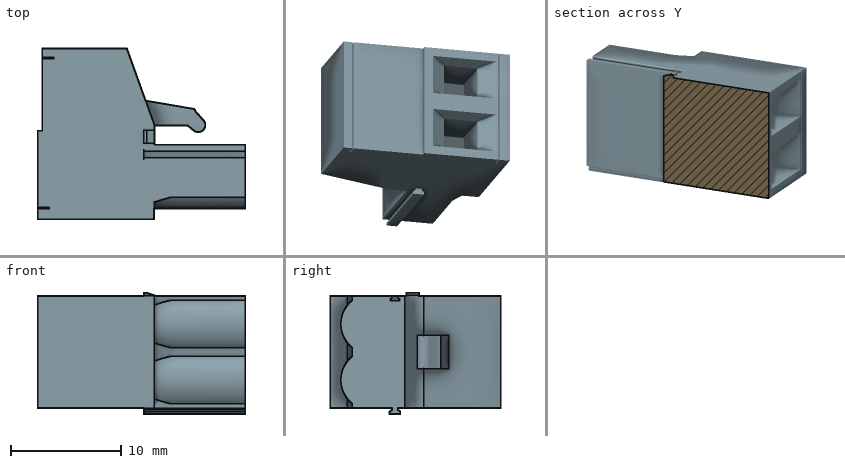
import cadquery as cq
import math

POLES = 2
PITCH = 5.08
HEIGHT = POLES * PITCH
LENGTH_X = 18.85
WIDTH_Y = 15.5

BACK_SETBACK = 0.42
ENTRY_WIDTH = 8.04
REAR_TOP_X = 8.1
PLUG_ROOT_X = 10.62
SLOPE_END_Y = 8.5
ENTRY_BLOCK_X = 10.56
PLUG_TOP_Y = 6.78
PLUG_BOTTOM_Y = 2.03
PLUG_TAPER_Y = 1.57
PLUG_TAPER_X = 12.15

SHROUD_BOTTOM_Y = 0.98
SHROUD_RADIUS = 2.76

FUNNEL_CENTER_Y = 4.25
FUNNEL_MOUTH = (5.96, 3.53)
FUNNEL_THROAT = (3.16, 2.78)
FUNNEL_DEPTH = 1.3
THROAT_DEPTH = 4.7

SLIT_WIDTH = 0.1
SLIT_DEPTH = 1.05
SLIT_LOW_Y = 1.02
SLIT_HIGH_Y = 14.62

RAIL_START_X = 9.64
RAIL_CENTER_Y = 5.89
RAIL_NECK = 0.56
RAIL_HEAD = 1.0
RAIL_HEIGHT = 0.56
RAIL_NECK_HEIGHT = 0.17
RAIL_HEAD_HEIGHT = 0.23
GROOVE_NECK = 0.58
GROOVE_RADIUS = 0.14
GROOVE_DEPTH = 0.45

RAMP_Y = (6.9, 8.08)
RAMP_FLAT = 0.24
RAMP_HEIGHT = 0.30
RAMP_END_HEIGHT = 0.05

HOOK_WIDTH = 3.0
HOOK_ROOT_Y = 10.77
HOOK_SHOULDER = (14.2, 10.02)
HOOK_NOTCH = (14.4, 9.7)
HOOK_TIP_RADIUS = 0.65
HOOK_TIP_CENTER = (14.57, 8.55)
HOOK_TIP_LOWER_ANGLE = math.radians(235)
HOOK_TIP_UPPER_ANGLE = math.radians(42)
HOOK_LOWER_X = 13.6


def pole_centers():
    return [PITCH * (pole + 0.5) for pole in range(POLES)]


def make_housing():
    outline = [
        (0, 0),
        (ENTRY_BLOCK_X, 0),
        (ENTRY_BLOCK_X, PLUG_TAPER_Y),
        (PLUG_TAPER_X, PLUG_BOTTOM_Y),
        (LENGTH_X, PLUG_BOTTOM_Y),
        (LENGTH_X, PLUG_TOP_Y),
        (PLUG_ROOT_X, PLUG_TOP_Y),
        (PLUG_ROOT_X, SLOPE_END_Y),
        (REAR_TOP_X, WIDTH_Y),
        (BACK_SETBACK, WIDTH_Y),
        (BACK_SETBACK, ENTRY_WIDTH),
        (0, ENTRY_WIDTH),
    ]
    return cq.Workplane("XY").polyline(outline).close().extrude(HEIGHT)


def make_shroud(center_z):
    center_y = SHROUD_BOTTOM_Y + SHROUD_RADIUS
    half_chord = math.sqrt(SHROUD_RADIUS**2 - (center_y - PLUG_BOTTOM_Y) ** 2)
    return (
        cq.Workplane("YZ", origin=(ENTRY_BLOCK_X, 0, center_z))
        .moveTo(PLUG_BOTTOM_Y, half_chord)
        .threePointArc((SHROUD_BOTTOM_Y, 0), (PLUG_BOTTOM_Y, -half_chord))
        .close()
        .extrude(LENGTH_X - ENTRY_BLOCK_X)
    )


def make_wire_entry(center_z):
    mouth = cq.Workplane("YZ", origin=(0, FUNNEL_CENTER_Y, center_z))
    funnel = mouth.rect(*FUNNEL_MOUTH).workplane(offset=FUNNEL_DEPTH).rect(*FUNNEL_THROAT).loft(ruled=True)
    throat = mouth.workplane(offset=FUNNEL_DEPTH).rect(*FUNNEL_THROAT).extrude(THROAT_DEPTH)
    return funnel.union(throat)


def make_slit(entry_x, center_y):
    return cq.Workplane("XY").box(
        SLIT_DEPTH, SLIT_WIDTH, HEIGHT, centered=(False, True, False)
    ).translate((entry_x, center_y, 0))


def make_rail():
    neck = RAIL_NECK / 2
    head = RAIL_HEAD / 2
    shoulder_z = RAIL_HEAD_HEIGHT - RAIL_HEIGHT
    half_profile = [(neck, 0), (neck, -RAIL_NECK_HEIGHT), (head, shoulder_z), (head, -RAIL_HEIGHT)]
    mirrored = [(-y, z) for y, z in reversed(half_profile)]
    return (
        cq.Workplane("YZ", origin=(RAIL_START_X, RAIL_CENTER_Y, 0))
        .polyline(half_profile + mirrored)
        .close()
        .extrude(LENGTH_X - RAIL_START_X)
    )


def make_groove():
    r = GROOVE_RADIUS
    neck = GROOVE_NECK / 2
    wall = neck + r
    diagonal = r * (1 - math.sqrt(0.5))
    corner = (wall - diagonal, -GROOVE_DEPTH + diagonal)
    return (
        cq.Workplane("YZ", origin=(RAIL_START_X, RAIL_CENTER_Y, HEIGHT))
        .moveTo(wall, 0)
        .threePointArc((neck, -r), (wall, -2 * r))
        .lineTo(wall, -GROOVE_DEPTH + r)
        .threePointArc(corner, (neck, -GROOVE_DEPTH))
        .lineTo(-neck, -GROOVE_DEPTH)
        .threePointArc((-corner[0], corner[1]), (-wall, -GROOVE_DEPTH + r))
        .lineTo(-wall, -2 * r)
        .threePointArc((-neck, -r), (-wall, 0))
        .close()
        .extrude(LENGTH_X - RAIL_START_X)
    )


def make_ramp():
    low_y, high_y = RAMP_Y
    profile = [
        (RAIL_START_X, 0),
        (PLUG_ROOT_X, 0),
        (PLUG_ROOT_X, RAMP_END_HEIGHT),
        (RAIL_START_X + RAMP_FLAT, RAMP_HEIGHT),
        (RAIL_START_X, RAMP_HEIGHT),
    ]
    return (
        cq.Workplane("XZ", origin=(0, high_y, HEIGHT)).polyline(profile).close().extrude(high_y - low_y)
    )


def hook_tip_point(angle):
    center_x, center_y = HOOK_TIP_CENTER
    return (center_x + HOOK_TIP_RADIUS * math.cos(angle), center_y + HOOK_TIP_RADIUS * math.sin(angle))


def make_hook():
    slope = (WIDTH_Y - SLOPE_END_Y) / (PLUG_ROOT_X - REAR_TOP_X)
    root_x = PLUG_ROOT_X - (HOOK_ROOT_Y - SLOPE_END_Y) / slope
    return (
        cq.Workplane("XY", origin=(0, 0, (HEIGHT - HOOK_WIDTH) / 2))
        .moveTo(PLUG_ROOT_X, SLOPE_END_Y)
        .lineTo(HOOK_LOWER_X, SLOPE_END_Y)
        .lineTo(*hook_tip_point(HOOK_TIP_LOWER_ANGLE))
        .threePointArc(hook_tip_point(-math.pi / 4), hook_tip_point(HOOK_TIP_UPPER_ANGLE))
        .lineTo(*HOOK_NOTCH)
        .lineTo(*HOOK_SHOULDER)
        .lineTo(root_x, HOOK_ROOT_Y)
        .close()
        .extrude(HOOK_WIDTH)
    )


part = make_housing()
for z in pole_centers():
    part = part.union(make_shroud(z))
for added in (make_rail(), make_ramp(), make_hook()):
    part = part.union(added)
for z in pole_centers():
    part = part.cut(make_wire_entry(z))
part = part.cut(make_slit(0, SLIT_LOW_Y)).cut(make_slit(BACK_SETBACK, SLIT_HIGH_Y)).cut(make_groove())

result = part